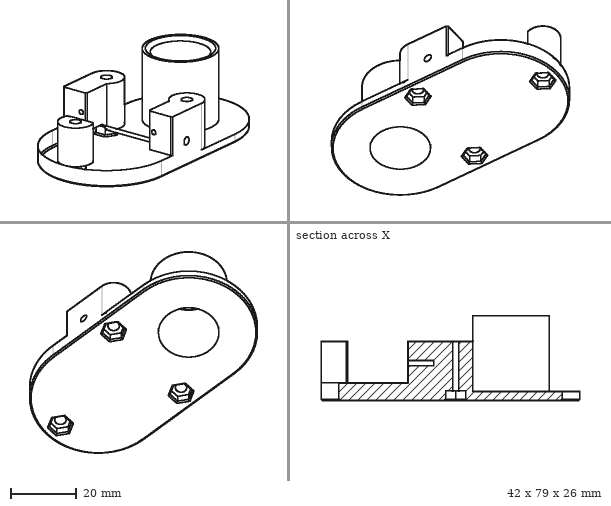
import cadquery as cq
import math

length = 79.0
width = 42.0
end_radius = width / 2
end_center_y = length / 2 - end_radius
plate_height = 2.85
slab_height = 5.45
ramp_foot_y = -2.7
bottom_chamfer = 0.5

tube_diameter = 23.5
tube_bore = 18.5
tube_top = 26.0
tube_mouth_diameter = 21.5
tube_mouth_depth = 1.2

post_top = 18.1
post_radius = 5.5
post_hole = 3.5
rear_post_x = end_radius - post_radius
rear_post_y = 1.6
front_post_y = -length / 2 + post_radius
front_post_flat_y = -31.45
post_edge_chamfer = 0.5

block_inner_x = 12.0
block_front_y = -13.0
block_edge_chamfer = 0.5
side_hole = 2.5
side_hole_y = -5.8
side_hole_z = 8.05
side_hole_depth = 6.3
pilot_hole = 1.5
pilot_x = 14.0
pilot_z = 11.45
pilot_depth = 7.9

nut_flats = 6.0
nut_depth = 3.0
nut_lead_in = 0.5

post_centers = [
    (-rear_post_x, rear_post_y),
    (rear_post_x, rear_post_y),
    (0, front_post_y),
]


def cylinder(center, radius, height):
    return cq.Workplane("XY").center(*center).circle(radius).extrude(height)


def make_base():
    """Stadium plate, stepped by a 45 degree ramp up to the front slab."""
    outline = cq.Workplane("XY").slot2D(length, width, 90).extrude(slab_height)
    base = outline.faces("<Z").edges().chamfer(bottom_chamfer)
    ramp_top_y = ramp_foot_y - (slab_height - plate_height)
    rear_space = (
        cq.Workplane("YZ")
        .moveTo(ramp_top_y, slab_height)
        .lineTo(ramp_foot_y, plate_height)
        .lineTo(length / 2, plate_height)
        .lineTo(length / 2, slab_height)
        .close()
        .extrude(end_radius, both=True)
    )
    return base.cut(rear_space)


def make_block(side):
    """Rear post and its block; side is -1 for left and +1 for right."""
    block_width = end_radius - block_inner_x
    block_length = rear_post_y - block_front_y
    block = (
        cq.Workplane("XY")
        .workplane(offset=plate_height)
        .center(side * (end_radius - block_width / 2), rear_post_y - block_length / 2)
        .rect(block_width, block_length)
        .extrude(post_top - plate_height)
        .edges("|Z and <Y")
        .chamfer(block_edge_chamfer)
    )
    post = cylinder((side * rear_post_x, rear_post_y), post_radius, post_top)
    above_plate = (
        cq.Workplane("XY")
        .workplane(offset=plate_height)
        .rect(length, length)
        .extrude(post_top - plate_height)
    )
    return block.union(post.intersect(above_plate))


def make_front_post():
    """Round post with a flat, chamfered rear side, rising from the slab."""
    post = (
        cq.Workplane("XY")
        .workplane(offset=slab_height)
        .center(0, front_post_y)
        .circle(post_radius)
        .extrude(post_top - slab_height)
    )
    behind_flat = (
        cq.Workplane("XY")
        .center(0, front_post_flat_y + post_radius)
        .rect(2 * post_radius, 2 * post_radius)
        .extrude(post_top)
    )
    return post.cut(behind_flat).edges("|Z and >Y").chamfer(post_edge_chamfer)


def hex_across_corners(flats):
    return flats / math.cos(math.pi / 6)


def make_nut_pocket(center):
    """Hexagonal pocket with a tapered lead-in at the bottom face."""
    corners = hex_across_corners(nut_flats)
    mouth_corners = hex_across_corners(nut_flats + 2 * nut_lead_in)
    pocket = cq.Workplane("XY").center(*center).polygon(6, corners).extrude(nut_depth)
    lead_in = (
        cq.Workplane("XY")
        .center(*center)
        .polygon(6, mouth_corners)
        .workplane(offset=nut_lead_in)
        .polygon(6, corners)
        .loft(combine=True)
    )
    return pocket.union(lead_in)


def make_side_hole(side):
    return (
        cq.Workplane("YZ")
        .workplane(offset=side * end_radius)
        .center(side_hole_y, side_hole_z)
        .circle(side_hole / 2)
        .extrude(-side * side_hole_depth)
    )


def make_pilot_hole(side):
    return (
        cq.Workplane("XZ")
        .workplane(offset=-block_front_y)
        .center(side * pilot_x, pilot_z)
        .circle(pilot_hole / 2)
        .extrude(-pilot_depth)
    )


def make_tube_bore():
    """Through bore, opened by a conical mouth at the top."""
    bore = cylinder((0, end_center_y), tube_bore / 2, tube_top)
    mouth = (
        cq.Workplane("XY")
        .workplane(offset=tube_top - tube_mouth_depth)
        .center(0, end_center_y)
        .circle(tube_bore / 2)
        .workplane(offset=tube_mouth_depth)
        .circle(tube_mouth_diameter / 2)
        .loft(combine=True)
    )
    return bore.union(mouth)


result = make_base().union(make_front_post())
for side in (-1, 1):
    result = result.union(make_block(side))

result = result.union(cylinder((0, end_center_y), tube_diameter / 2, tube_top))
result = result.cut(make_tube_bore())

for center in post_centers:
    result = result.cut(cylinder(center, post_hole / 2, post_top))
    result = result.cut(make_nut_pocket(center))

for side in (-1, 1):
    result = result.cut(make_side_hole(side))
    result = result.cut(make_pilot_hole(side))